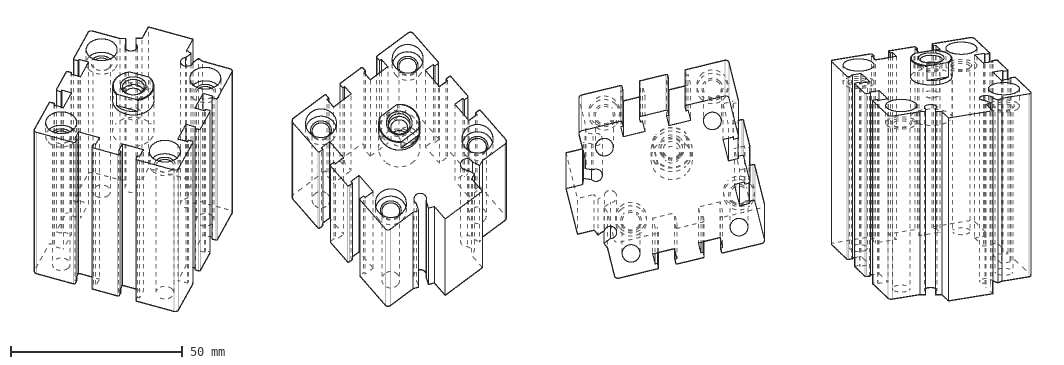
import cadquery as cq
import math

side = 45.0
half_side = side / 2
overall_depth = 52.5
barrel_height = 58.0
rod_stick_out = 6.0
total_height = barrel_height + rod_stick_out
corner_radius = 1.0

rail_half_width = 7.0
rail_top_y = overall_depth - half_side
shoulder_top_y = 24.95

groove_diameter = 3.65
groove_x = 8.7
groove_y = 20.55
groove_neck_width = 2.95
groove_tilt = 22.5
groove_neck_length = 6.4

slot_offset = 6.85
slot_mouth_width = 5.2
slot_inner_width = 6.5
slot_lip_depth = 1.6
slot_depth = 4.6
lip_radius = 0.4

hole_offset = 16.2
counterbore_diameter = 9.0
counterbore_depth = 5.5
hole_entry_diameter = 6.1
hole_diameter = 5.2
hole_entry_depth = (hole_entry_diameter - hole_diameter) / 2

rod_diameter = 12.0
rod_in_barrel = 12.8
rod_chamfer = 0.2
flat_distance = 10.0
flat_height = 4.6

rod_mouth_diameter = 7.5
rod_bore_diameter = 6.4
rod_bore_depth = 2.7
rod_pilot_diameter = 4.9
rod_pilot_depth = 11.5
drill_tip_angle = 118


def t_slot(offset):
    """T-slot cutter running along Z in the -Y side, with rounded mouth edges."""
    outward = math.copysign(1, offset)
    half_mouth = slot_mouth_width / 2
    half_inner = slot_inner_width / 2

    def point(across, depth):
        return (offset + outward * across, depth - half_side)

    arc_mid = lip_radius * (1 - math.sqrt(0.5))
    return (
        cq.Workplane("XY")
        .moveTo(*point(half_mouth + lip_radius, 0))
        .threePointArc(point(half_mouth + arc_mid, arc_mid), point(half_mouth, lip_radius))
        .lineTo(*point(half_mouth, slot_lip_depth))
        .lineTo(*point(half_inner, slot_lip_depth))
        .lineTo(*point(half_inner, slot_depth))
        .lineTo(*point(-half_inner, slot_depth))
        .lineTo(*point(-half_inner, slot_lip_depth))
        .lineTo(*point(-half_mouth, slot_lip_depth))
        .lineTo(*point(-half_mouth, lip_radius))
        .threePointArc(point(-half_mouth - arc_mid, arc_mid), point(-half_mouth - lip_radius, 0))
        .close()
        .extrude(barrel_height)
    )


def sensor_groove(sign):
    """Round groove with a neck leaning away from the rail; sign picks the -X or +X side."""
    neck = (
        cq.Workplane("XY")
        .center(0, groove_neck_length / 2)
        .rect(groove_neck_width, groove_neck_length)
        .extrude(barrel_height)
    )
    groove = cq.Workplane("XY").circle(groove_diameter / 2).extrude(barrel_height).union(neck)
    return groove.rotate((0, 0, 0), (0, 0, 1), -sign * groove_tilt).translate((sign * groove_x, groove_y, 0))


def corner_holes():
    """Counterbored through holes, revolved once and copied to the four corners."""
    floor_z = barrel_height - counterbore_depth
    hole = (
        cq.Workplane("XZ")
        .polyline([
            (0, 0),
            (hole_diameter / 2, 0),
            (hole_diameter / 2, floor_z - hole_entry_depth),
            (hole_entry_diameter / 2, floor_z),
            (counterbore_diameter / 2, floor_z),
            (counterbore_diameter / 2, barrel_height),
            (0, barrel_height),
        ])
        .close()
        .revolve(360, (0, 0, 0), (0, 1, 0))
    )
    return [
        hole.translate((x, y, 0))
        for x in (-hole_offset, hole_offset)
        for y in (-hole_offset, hole_offset)
    ]


def make_barrel():
    """Extruded housing with its rail, grooves, T-slots, corner holes and rod socket."""
    barrel = cq.Workplane("XY").rect(side, side).extrude(barrel_height)
    barrel = barrel.edges("|Z").fillet(corner_radius)

    shoulder_run = (shoulder_top_y - half_side) / math.tan(math.radians(groove_tilt))
    shoulder_foot_x = rail_half_width + shoulder_run
    rail = (
        cq.Workplane("XY")
        .polyline([
            (-shoulder_foot_x, half_side),
            (-rail_half_width, shoulder_top_y),
            (-rail_half_width, rail_top_y),
            (rail_half_width, rail_top_y),
            (rail_half_width, shoulder_top_y),
            (shoulder_foot_x, half_side),
        ])
        .close()
        .extrude(barrel_height)
    )
    barrel = barrel.union(rail)

    for sign in (-1, 1):
        barrel = barrel.cut(sensor_groove(sign))
        for slot_turn in (-90, 0, 90):
            barrel = barrel.cut(t_slot(sign * slot_offset).rotate((0, 0, 0), (0, 0, 1), slot_turn))

    for hole in corner_holes():
        barrel = barrel.cut(hole)

    rod_socket = (
        cq.Workplane("XY")
        .workplane(offset=barrel_height - rod_in_barrel)
        .circle(rod_diameter / 2)
        .extrude(rod_in_barrel)
    )
    return barrel.cut(rod_socket)


def rod_hole():
    """Revolved cutter: chamfered mouth, short bore, tapered step, pilot hole and drill tip."""
    mouth_radius = rod_mouth_diameter / 2
    bore_radius = rod_bore_diameter / 2
    pilot_radius = rod_pilot_diameter / 2
    tip_length = pilot_radius / math.tan(math.radians(drill_tip_angle / 2))
    pilot_z = total_height - rod_pilot_depth
    bore_z = total_height - rod_bore_depth
    return (
        cq.Workplane("XZ")
        .polyline([
            (0, pilot_z - tip_length),
            (pilot_radius, pilot_z),
            (pilot_radius, bore_z - (bore_radius - pilot_radius)),
            (bore_radius, bore_z),
            (bore_radius, total_height - (mouth_radius - bore_radius)),
            (mouth_radius, total_height),
            (0, total_height),
        ])
        .close()
        .revolve(360, (0, 0, 0), (0, 1, 0))
    )


def make_rod():
    """Chamfered rod with two wrench flats and a stepped hole in its end."""
    rod = (
        cq.Workplane("XY")
        .workplane(offset=barrel_height - rod_in_barrel)
        .circle(rod_diameter / 2)
        .extrude(rod_in_barrel + rod_stick_out)
    )
    rod = rod.faces(">Z").edges().chamfer(rod_chamfer)

    flat_cutter = (
        cq.Workplane("XY")
        .workplane(offset=total_height - flat_height)
        .rect(rod_diameter, rod_diameter)
        .rect(rod_diameter, flat_distance)
        .extrude(flat_height)
    )
    return rod.cut(flat_cutter).cut(rod_hole())


barrel = make_barrel()
rod = make_rod()
result = cq.Compound.makeCompound([barrel.val(), rod.val()])